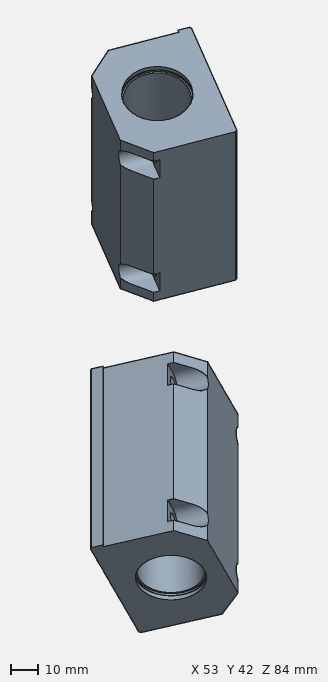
import cadquery as cq

length = 84.0
width = 53.0
depth = 42.0
lip_overhang = 1.0
lip_thickness = 5.0
front_bevel = 9.7
back_corner_chamfer = 0.7

bore_diameter = 25.0
bore_from_back = 22.0
mouth_diameter = 26.0
mouth_depth = 2.0
groove_diameter = 26.4
groove_width = 1.0

screw_pitch_x = 40.0
screw_pitch_z = 64.0
screw_diameter = 5.0
pocket_diameter = 10.0
pocket_depth = 12.0

left = -width / 2
right = width / 2
body_left = left + lip_overhang
back = bore_from_back
front = back - depth
top = length / 2


def make_body():
    """Extrude the bevelled outline with the reference lip along its back left edge."""
    outline = [
        (left, back - lip_thickness),
        (left, back - back_corner_chamfer),
        (left + back_corner_chamfer, back),
        (right - back_corner_chamfer, back),
        (right, back - back_corner_chamfer),
        (right, front + front_bevel),
        (right - front_bevel, front),
        (body_left + front_bevel, front),
        (body_left, front + front_bevel),
        (body_left, back - lip_thickness),
    ]
    profile = cq.Workplane("XY").workplane(offset=-top).polyline(outline).close()
    return profile.extrude(length)


def make_bore():
    """Revolve the through bore with a wider mouth and a shallow ring groove at each end."""
    bore_radius = bore_diameter / 2
    mouth_radius = mouth_diameter / 2
    mouth_end = top - mouth_depth
    groove_radius = groove_diameter / 2
    groove_end = mouth_end - groove_width
    half_section = [
        (0, -top),
        (mouth_radius, -top),
        (mouth_radius, -mouth_end),
        (groove_radius, -mouth_end),
        (groove_radius, -groove_end),
        (bore_radius, -groove_end),
        (bore_radius, groove_end),
        (groove_radius, groove_end),
        (groove_radius, mouth_end),
        (mouth_radius, mouth_end),
        (mouth_radius, top),
        (0, top),
    ]
    section = cq.Workplane("XZ").polyline(half_section).close()
    return section.revolve(360, (0, 0, 0), (0, 1, 0))


def make_screw_seat(x, z):
    """Make a through hole and its round pocket, opened out to the nearest side."""
    side = right if x > 0 else left
    start = cq.Workplane("XZ", origin=(0, front, 0))
    hole = start.center(x, z).circle(screw_diameter / 2).extrude(-depth)
    pocket = start.center(x, z).circle(pocket_diameter / 2).extrude(-pocket_depth)
    opening = (
        start.center((x + side) / 2, z)
        .rect(abs(side - x), pocket_diameter)
        .extrude(-pocket_depth)
    )
    return hole.union(pocket).union(opening)


result = make_body().cut(make_bore())
for x in (-screw_pitch_x / 2, screw_pitch_x / 2):
    for z in (-screw_pitch_z / 2, screw_pitch_z / 2):
        result = result.cut(make_screw_seat(x, z))